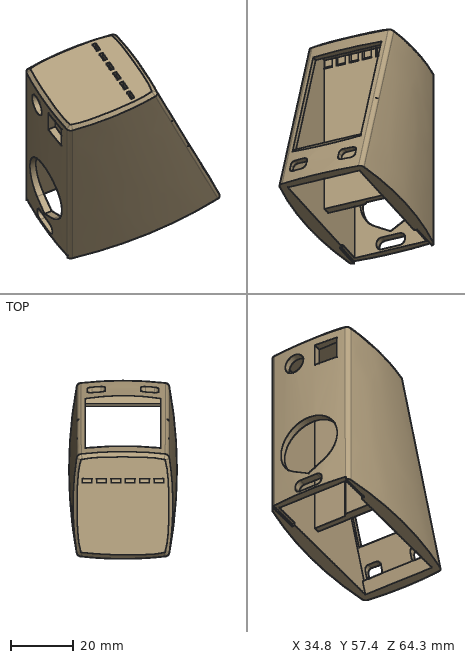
import cadquery as cq
import math

HEIGHT = 64.25
BASE_WIDTH = 34.8
BASE_DEPTH = 57.4
ROOF_WIDTH = 32.05
ROOF_DEPTH = 34.05
CORNER_HALF_WIDTH = 14.7
END_BULGE = 0.9
CORNER_RADIUS = 1.6
ROOF_CHAMFER = 1.35
WALL = 2.0

BACK_SLOPE = (BASE_DEPTH - ROOF_DEPTH) / HEIGHT
BACK_ANGLE = math.atan(BACK_SLOPE)

CAVITY_HALF_WIDTH = CORNER_HALF_WIDTH - WALL
FRONT_INNER_Y = 2.65
BACK_INNER_BASE = 53.8
BACK_SEAT_HEIGHT = 4.5
BACK_SEAT_DEPTH = 1.0
PARTITION_FRONT = 23.8
PARTITION_BOTTOM = 6.95
PARTITION_STEP = 0.9
PARTITION_STEP_X = -1.3
BOTTOM_RECESS = 0.95
NOTCH_HALF_WIDTH = 13.8

KEY_RADIUS = 10.7
KEY_Z = 20.25
KEY_TANGENT_ANGLE = math.radians(30)
BUTTON_DIAMETER = 7.1
BUTTON_X = -5.45
BUTTON_Z = 55.8
SQUARE_SIDE = 8.1
SQUARE_X = 6.5
SQUARE_Z = 55.85
CABLE_WIDTH = 10.1
CABLE_HEIGHT = 4.45
CABLE_Z = 4.1
CABLE_CORNER_RADIUS = 1.9

WINDOW_HALF_WIDTH = 12.1
WINDOW_BOTTOM = 13.4
WINDOW_TOP = 57.95
SILL_CREST_Y = 49.9
BACK_PORT_WIDTH = 5.9
BACK_PORT_HEIGHT = 4.8
BACK_PORT_BOTTOM = 4.75
BACK_PORT_X = 8.6
BACK_PORT_REACH = 11.5
BACK_PORT_CORNER_DIAMETER = 3.0

VENT_COUNT = 6
VENT_PITCH = 4.6
VENT_LENGTH = 3.1
VENT_WIDTH = 1.2
VENT_Y = 25.2
VENT_FLOOR_DEPTH = 3.85


def shell_outline(width, depth, z):
    """Rounded rectangle with four outward-bowed sides, at height z."""
    side_x = width / 2
    front_y = END_BULGE
    back_y = depth - END_BULGE
    outline = (
        cq.Workplane("XY", origin=(0, 0, z))
        .moveTo(-CORNER_HALF_WIDTH, front_y)
        .threePointArc((0, 0), (CORNER_HALF_WIDTH, front_y))
        .threePointArc((side_x, depth / 2), (CORNER_HALF_WIDTH, back_y))
        .threePointArc((0, depth), (-CORNER_HALF_WIDTH, back_y))
        .threePointArc((-side_x, depth / 2), (-CORNER_HALF_WIDTH, front_y))
        .close()
        .wire()
        .val()
    )
    return outline.fillet2D(CORNER_RADIUS, outline.Vertices())


def outer_body():
    base = shell_outline(BASE_WIDTH, BASE_DEPTH, 0)
    roof = shell_outline(ROOF_WIDTH, ROOF_DEPTH, HEIGHT)
    body = cq.Workplane(cq.Solid.makeLoft([base, roof], True))
    return body.faces(">Z").chamfer(ROOF_CHAMFER)


def side_profile(points, half_width):
    """Prism across X from (Y, Z) points, centred on X = 0."""
    return cq.Workplane("YZ").polyline(points).close().extrude(half_width, both=True)


def front_plane(y, z=0.0):
    """Sketch plane parallel to the front face; a negative extrusion runs toward +Y."""
    return cq.Workplane(cq.Plane(origin=(0, y, z), xDir=(1, 0, 0), normal=(0, -1, 0)))


def cavity():
    ceiling = HEIGHT - WALL
    seat_y = BACK_INNER_BASE - BACK_SLOPE * BACK_SEAT_HEIGHT
    seat_back_y = seat_y + BACK_SEAT_DEPTH * math.cos(BACK_ANGLE)
    seat_back_z = BACK_SEAT_HEIGHT + BACK_SEAT_DEPTH * math.sin(BACK_ANGLE)
    return side_profile(
        [
            (FRONT_INNER_Y, 0),
            (BACK_INNER_BASE, 0),
            (seat_y, BACK_SEAT_HEIGHT),
            (seat_back_y, seat_back_z),
            (seat_back_y - BACK_SLOPE * (ceiling - seat_back_z), ceiling),
            (FRONT_INNER_Y, ceiling),
        ],
        CAVITY_HALF_WIDTH,
    )


def partition():
    """Upright wall behind the front chamber, with a bevelled step near the middle."""
    back = VENT_Y + VENT_WIDTH / 2
    forward = PARTITION_FRONT - PARTITION_STEP
    edge = CAVITY_HALF_WIDTH
    points = [
        (-edge, PARTITION_FRONT),
        (PARTITION_STEP_X, PARTITION_FRONT),
        (PARTITION_STEP_X + PARTITION_STEP, forward),
        (edge, forward),
        (edge, back),
        (-edge, back),
    ]
    return (
        cq.Workplane("XY", origin=(0, 0, PARTITION_BOTTOM))
        .polyline(points)
        .close()
        .extrude(HEIGHT - WALL - PARTITION_BOTTOM)
    )


def front_openings():
    reach = -PARTITION_FRONT / 2
    tangent_x = KEY_RADIUS * math.sin(KEY_TANGENT_ANGLE)
    tangent_z = -KEY_RADIUS * math.cos(KEY_TANGENT_ANGLE)
    tip_z = -KEY_RADIUS / math.cos(KEY_TANGENT_ANGLE)
    keyhole = (
        front_plane(0, KEY_Z)
        .moveTo(0, tip_z)
        .lineTo(tangent_x, tangent_z)
        .threePointArc((0, KEY_RADIUS), (-tangent_x, tangent_z))
        .close()
        .extrude(reach)
    )
    button = front_plane(0).center(BUTTON_X, BUTTON_Z).circle(BUTTON_DIAMETER / 2).extrude(reach)
    square = front_plane(0).center(SQUARE_X, SQUARE_Z).rect(SQUARE_SIDE, SQUARE_SIDE).extrude(reach)
    cable = (
        front_plane(0, CABLE_Z)
        .rect(CABLE_WIDTH, CABLE_HEIGHT)
        .extrude(reach)
        .edges("|Y")
        .fillet(CABLE_CORNER_RADIUS)
    )
    notch = front_plane(0).rect(2 * NOTCH_HALF_WIDTH, 2 * BOTTOM_RECESS).extrude(reach)
    return [keyhole, button, square, cable, notch]


def window():
    """Opening in the sloping back, over a sill that rises inward at 45 degrees to a flat crest."""
    sill_outer_y = BASE_DEPTH - BACK_SLOPE * WINDOW_BOTTOM
    crest_z = WINDOW_BOTTOM + sill_outer_y - SILL_CREST_Y
    inner_y = VENT_Y + VENT_WIDTH / 2
    return side_profile(
        [
            (BASE_DEPTH, WINDOW_BOTTOM + sill_outer_y - BASE_DEPTH),
            (SILL_CREST_Y, crest_z),
            (inner_y, crest_z),
            (inner_y, WINDOW_TOP),
            (BASE_DEPTH, WINDOW_TOP),
        ],
        WINDOW_HALF_WIDTH,
    )


def back_ports():
    return (
        front_plane(BASE_DEPTH, BACK_PORT_BOTTOM + BACK_PORT_HEIGHT / 2)
        .pushPoints([(-BACK_PORT_X, 0), (BACK_PORT_X, 0)])
        .rect(BACK_PORT_WIDTH, BACK_PORT_HEIGHT)
        .extrude(BACK_PORT_REACH)
        .edges("|Y")
        .fillet(BACK_PORT_CORNER_DIAMETER / 2)
    )


def vents():
    """Row of roof slots whose 45 degree floors lead down into the rear chamber."""
    front = VENT_Y - VENT_WIDTH / 2
    back = VENT_Y + VENT_WIDTH / 2
    floor_z = HEIGHT - VENT_FLOOR_DEPTH
    slot = side_profile(
        [(front, HEIGHT), (front, floor_z), (back, floor_z - VENT_WIDTH), (back, HEIGHT)],
        VENT_LENGTH / 2,
    )
    first_x = -VENT_PITCH * (VENT_COUNT - 1) / 2
    return [slot.translate((first_x + i * VENT_PITCH, 0, 0)) for i in range(VENT_COUNT)]


result = outer_body().cut(cavity()).union(partition())
for opening in front_openings() + [window(), back_ports()] + vents():
    result = result.cut(opening)